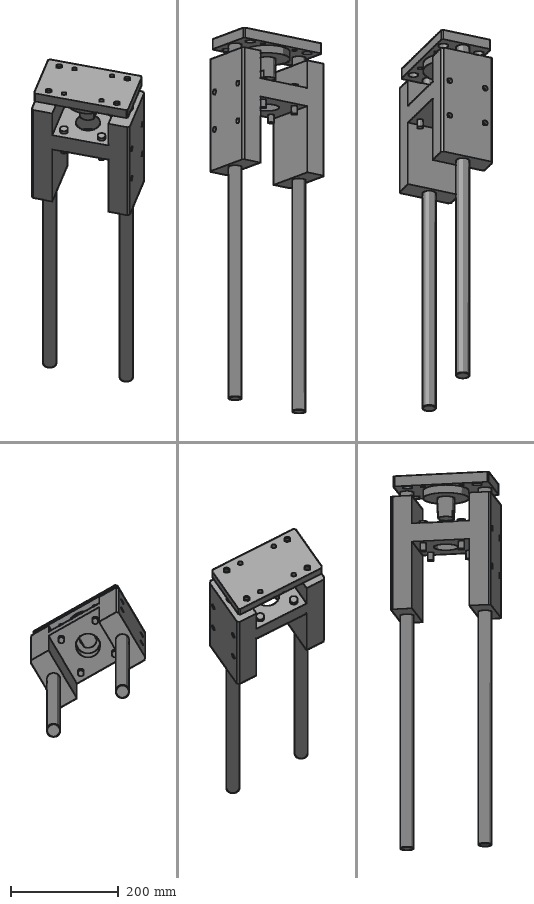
import cadquery as cq
import math

HOUSING_WIDTH = 189.0
HOUSING_DEPTH = 105.0
HOUSING_HEIGHT = 216.0
HOUSING_CHAMFER = 3.85
LEG_GAP = 108.0
CROSSBAR_DROP = 53.5
CROSSBAR_THICKNESS = 35.0
CROSSBAR_BORE_DIAMETER = 45.0

BOLT_SPACING = 72.0

SCREW_DIAMETER = 11.0
SCREW_HEAD_DIAMETER = 15.0
SCREW_HEAD_HEIGHT = 6.0
SCREW_PROJECTION = 15.0

SIDE_HOLE_MOUTH_DIAMETER = 10.0
SIDE_HOLE_MOUTH_DEPTH = 10.0
SIDE_HOLE_CORE_DIAMETER = 8.5
SIDE_HOLE_CORE_DEPTH = 14.0
DRILL_TIP_ANGLE = 118
SIDE_HOLES_TOP_DROP = 66.0

TOTAL_HEIGHT = 702.0
PLATE_WIDTH = 180.5
PLATE_DEPTH = 100.5
PLATE_THICKNESS = 20.0
PLATE_CHAMFER = 3.0
PLATE_CLEARANCE = 20.0
PLATE_LARGE_HOLE_DIAMETER = 11.0
PLATE_LARGE_HOLE_SPACING = 131.0
PLATE_COUNTERBORE_DIAMETER = 18.0
PLATE_COUNTERBORE_DEPTH = 15.0
PLATE_SMALL_HOLE_DIAMETER = 8.5
ROD_DIAMETER = 25.0
ROD_SPACING = 147.5
ROD_END_CHAMFER = 1.05
FLANGE_DIAMETER = 85.0
FLANGE_THICKNESS = 15.0
STUD_DIAMETER = 32.0
STUD_LENGTH = 38.5
STUD_FLATS_WIDTH = 27.5
STUD_FLATS_LENGTH = 12.5

PLATE_TOP = PLATE_CLEARANCE + PLATE_THICKNESS
ROD_BOTTOM = PLATE_TOP - TOTAL_HEIGHT
CROSSBAR_TOP = -CROSSBAR_DROP
CROSSBAR_BOTTOM = CROSSBAR_TOP - CROSSBAR_THICKNESS


def cylinder(x, y, bottom, top, diameter):
    """Upright cylinder between two heights."""
    return cq.Workplane("XY", origin=(x, y, bottom)).circle(diameter / 2).extrude(top - bottom)


def chamfered_block(width, depth, bottom, top, chamfer):
    """Block whose four upright edges are chamfered."""
    block = cq.Workplane("XY", origin=(0, 0, bottom)).rect(width, depth).extrude(top - bottom)
    return block.edges("|Z").chamfer(chamfer)


def leg_gap(bottom, top):
    """Full-depth cut between the legs."""
    return cq.Workplane("XY", origin=(0, 0, bottom)).rect(LEG_GAP, HOUSING_DEPTH).extrude(top - bottom)


def side_hole(side, y, z):
    """Cutter for a hole drilled inward from the left (-1) or right (+1) side face."""
    mouth_radius = SIDE_HOLE_MOUTH_DIAMETER / 2
    core_radius = SIDE_HOLE_CORE_DIAMETER / 2
    tip_depth = SIDE_HOLE_CORE_DEPTH + core_radius / math.tan(math.radians(DRILL_TIP_ANGLE / 2))
    half_profile = [
        (0, 0),
        (0, mouth_radius),
        (SIDE_HOLE_MOUTH_DEPTH, mouth_radius),
        (SIDE_HOLE_MOUTH_DEPTH, core_radius),
        (SIDE_HOLE_CORE_DEPTH, core_radius),
        (tip_depth, 0),
    ]
    inward = cq.Plane(origin=(side * HOUSING_WIDTH / 2, y, z), xDir=(-side, 0, 0), normal=(0, 1, 0))
    return cq.Workplane(inward).polyline(half_profile).close().revolve(360, (0, 0), (1, 0))


def make_housing():
    """Guide block with rod bores, side holes and the four crossbar screws."""
    housing = chamfered_block(HOUSING_WIDTH, HOUSING_DEPTH, -HOUSING_HEIGHT, 0, HOUSING_CHAMFER)
    housing = housing.cut(leg_gap(CROSSBAR_TOP, 0))
    housing = housing.cut(leg_gap(-HOUSING_HEIGHT, CROSSBAR_BOTTOM))
    housing = housing.cut(cylinder(0, 0, CROSSBAR_BOTTOM, CROSSBAR_TOP, CROSSBAR_BORE_DIAMETER))

    for side in (-1, 1):
        housing = housing.cut(cylinder(side * ROD_SPACING / 2, 0, -HOUSING_HEIGHT, 0, ROD_DIAMETER))
        for y in (-BOLT_SPACING / 2, BOLT_SPACING / 2):
            for drop in (SIDE_HOLES_TOP_DROP, SIDE_HOLES_TOP_DROP + BOLT_SPACING):
                housing = housing.cut(side_hole(side, y, -drop))

    head_top = CROSSBAR_TOP + SCREW_HEAD_HEIGHT
    screw_bottom = CROSSBAR_BOTTOM - SCREW_PROJECTION
    for x in (-BOLT_SPACING / 2, BOLT_SPACING / 2):
        for y in (-BOLT_SPACING / 2, BOLT_SPACING / 2):
            housing = housing.union(cylinder(x, y, CROSSBAR_TOP, head_top, SCREW_HEAD_DIAMETER))
            housing = housing.union(cylinder(x, y, screw_bottom, CROSSBAR_BOTTOM, SCREW_DIAMETER))
    return housing


def make_end_plate():
    """Plate with small through holes and large holes counterbored from below."""
    plate = chamfered_block(PLATE_WIDTH, PLATE_DEPTH, PLATE_CLEARANCE, PLATE_TOP, PLATE_CHAMFER)
    plate = plate.faces(">Z").workplane().rarray(BOLT_SPACING, BOLT_SPACING, 2, 2)
    plate = plate.hole(PLATE_SMALL_HOLE_DIAMETER)
    plate = plate.faces("<Z").workplane().rarray(PLATE_LARGE_HOLE_SPACING, BOLT_SPACING, 2, 2)
    return plate.cboreHole(PLATE_LARGE_HOLE_DIAMETER, PLATE_COUNTERBORE_DIAMETER, PLATE_COUNTERBORE_DEPTH)


def make_coupling():
    """Flange under the end plate, with a stud that has two side flats at its lower end."""
    flange_bottom = PLATE_CLEARANCE - FLANGE_THICKNESS
    stud_bottom = flange_bottom - STUD_LENGTH
    flats_top = stud_bottom + STUD_FLATS_LENGTH
    flange = cylinder(0, 0, flange_bottom, PLATE_CLEARANCE, FLANGE_DIAMETER)
    stud = cylinder(0, 0, flats_top, flange_bottom, STUD_DIAMETER)
    flats_envelope = cq.Workplane("XY", origin=(0, 0, stud_bottom)).rect(STUD_FLATS_WIDTH, STUD_DIAMETER)
    flats = cylinder(0, 0, stud_bottom, flats_top, STUD_DIAMETER)
    flats = flats.intersect(flats_envelope.extrude(STUD_FLATS_LENGTH))
    return flange.union(stud).union(flats)


def make_carriage():
    """End plate, coupling and two guide rods as one body."""
    carriage = make_end_plate().union(make_coupling())
    for x in (-ROD_SPACING / 2, ROD_SPACING / 2):
        rod = cylinder(x, 0, ROD_BOTTOM, PLATE_CLEARANCE, ROD_DIAMETER)
        carriage = carriage.union(rod.faces("<Z").chamfer(ROD_END_CHAMFER))
    return carriage


housing = make_housing()
carriage = make_carriage()
result = cq.Compound.makeCompound([housing.val(), carriage.val()])